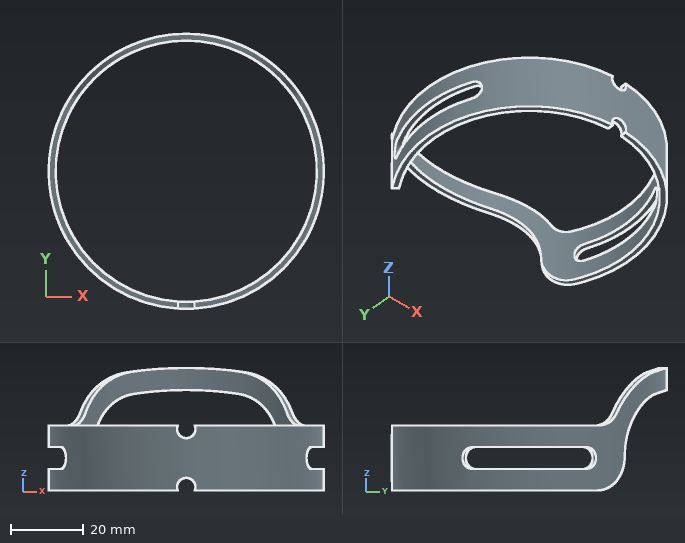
import cadquery as cq
import math

outer_radius = 38.05
wall = 2.0
band_height = 18.0
total_height = 33.95

shoulder_offset = 13.5
upper_crown_radius = 120.2
upper_shoulder_radius = 23.3
upper_fillet_radius = 6.85
window_height = 27.8
window_crown_radius = 114.15
window_shoulder_radius = 17.05
strap_sector = 42.6

slot_length = 38.5
slot_height = 6.0

notch_diameter = 5.0
notch_inset = 1.0

near_plane = 11.4
far_plane = 45.65
arc_steps = 10


def arc(center, radius, start, end):
    """Points of an unrolled arc; angles in radians, from the surface direction."""
    points = []
    for step in range(arc_steps + 1):
        angle = start + (end - start) * step / arc_steps
        points.append((center[0] + radius * math.cos(angle), center[1] + radius * math.sin(angle)))
    return points


def radial_prism(curves):
    """Closed unrolled outline swept radially outwards, centred on the +Y direction."""
    wires = []
    for plane in (near_plane, far_plane):
        edges = []
        for curve in curves:
            points = [cq.Vector(plane * math.tan(s / outer_radius), plane, z) for s, z in curve]
            if len(points) == 2:
                edges.append(cq.Edge.makeLine(*points))
            else:
                parameters = [step / arc_steps for step in range(len(points))]
                edges.append(cq.Edge.makeSpline(points, parameters=parameters))
        wires.append(cq.Wire.assembleEdges(edges))
    return cq.Workplane(obj=cq.Solid.makeLoft(wires, True))


def shoulder_height(apex, crown_radius, shoulder_radius):
    """Height of the shoulder arc centre that makes it tangent to the crown arc."""
    return apex - crown_radius + math.sqrt((crown_radius - shoulder_radius) ** 2 - shoulder_offset**2)


def crown_edge(apex, crown_radius, shoulder_radius, shoulder_end):
    """Crown and shoulder arcs on one side, from the centre line outwards."""
    shoulder_center = (shoulder_offset, shoulder_height(apex, crown_radius, shoulder_radius))
    tangent_angle = math.acos(shoulder_offset / (crown_radius - shoulder_radius))
    return [
        arc((0, apex - crown_radius), crown_radius, math.pi / 2, tangent_angle),
        arc(shoulder_center, shoulder_radius, tangent_angle, shoulder_end),
    ]


def ring(height):
    return cq.Workplane().circle(outer_radius).circle(outer_radius - wall).extrude(height)


def front_band():
    """Band of constant height around the rest of the ring, outside the back sector."""
    half_width = far_plane * math.tan(strap_sector / outer_radius)
    back_corners = [(0, 0), (half_width, far_plane), (-half_width, far_plane)]
    back_sector = cq.Workplane().polyline(back_corners).close().extrude(band_height)
    return ring(band_height).cut(back_sector)


def upper_edge():
    """Top of the strap on one side, ending in a fillet that meets the band's top edge."""
    center_z = shoulder_height(total_height, upper_crown_radius, upper_shoulder_radius)
    fillet_z = band_height + upper_fillet_radius
    tangent_angle = math.asin((fillet_z - center_z) / (upper_shoulder_radius + upper_fillet_radius))
    fillet_s = shoulder_offset + (upper_shoulder_radius + upper_fillet_radius) * math.cos(tangent_angle)
    side = crown_edge(total_height, upper_crown_radius, upper_shoulder_radius, tangent_angle)
    side.append(arc((fillet_s, fillet_z), upper_fillet_radius, math.pi + tangent_angle, 1.5 * math.pi))
    side.append([(fillet_s, band_height), (strap_sector, band_height)])
    return side


def window_edge():
    """Underside of the strap on one side; its foot flares out tangent to the bottom edge."""
    foot_radius = shoulder_height(window_height, window_crown_radius, window_shoulder_radius)
    foot_s = shoulder_offset + window_shoulder_radius + foot_radius
    side = crown_edge(window_height, window_crown_radius, window_shoulder_radius, 0)
    side.append(arc((foot_s, foot_radius), foot_radius, math.pi, 1.5 * math.pi))
    side.append([(foot_s, 0), (strap_sector, 0)])
    return side


def strap():
    """Back sector of the ring between the upper strap edge and the window edge."""
    sector_end = [(strap_sector, band_height), (strap_sector, 0)]
    underside = [curve[::-1] for curve in reversed(window_edge())]
    center_line = [(0, window_height), (0, total_height)]
    outline = upper_edge() + [sector_end] + underside + [center_line]
    tall_ring = ring(total_height + 2 * wall).translate((0, 0, -wall))
    half = tall_ring.intersect(radial_prism(outline))
    return half.union(half.mirror("YZ"))


def side_slot():
    """Round-ended slot at mid-height of the band, on the -X side."""
    cap_radius = slot_height / 2
    cap_s = slot_length / 2 - cap_radius
    middle = band_height / 2
    low = middle - cap_radius
    high = middle + cap_radius
    outline = [
        arc((cap_s, middle), cap_radius, math.pi / 2, -math.pi / 2),
        [(cap_s, low), (-cap_s, low)],
        arc((-cap_s, middle), cap_radius, -math.pi / 2, -1.5 * math.pi),
        [(-cap_s, high), (cap_s, high)],
    ]
    return radial_prism(outline).rotate((0, 0, 0), (0, 0, 1), 90)


def front_notches():
    heights = (notch_inset, band_height - notch_inset)
    return (
        cq.Workplane("XZ")
        .pushPoints([(0, z) for z in heights])
        .circle(notch_diameter / 2)
        .extrude(far_plane)
    )


body = front_band().union(strap()).cut(side_slot()).cut(front_notches())
left_side = cq.Workplane().box(2 * far_plane, 4 * far_plane, 4 * far_plane).translate((-far_plane, 0, 0))
left_half = body.intersect(left_side)
result = left_half.union(left_half.mirror("YZ"))